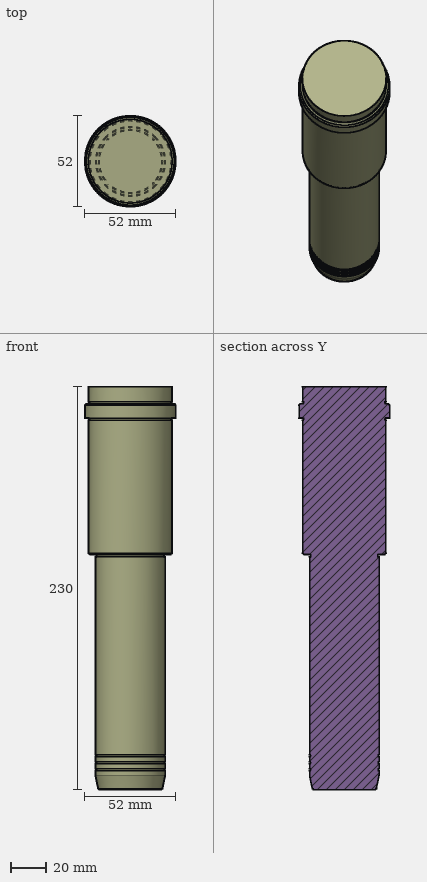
import cadquery as cq

total_length = 230.0
collar_radius = 26.0
sleeve_radius = 24.0
pin_radius = 20.0

sleeve_length = 96.0
sleeve_chamfer = 1.0
collar_top_depth = 9.7
collar_height = 8.3
collar_chamfer = 1.0

neck_width = 1.2
neck_depth = 0.7

nose_length = 8.3
nose_end_radius = 18.5
tip_chamfer = 0.7

groove_radius = 0.58

groove_count = 3
first_groove_height = 11.5
groove_pitch = 4.0

sleeve_bottom = total_length - sleeve_length
collar_top = total_length - collar_top_depth
collar_bottom = collar_top - collar_height


def cylinder(radius, bottom, height):
    return cq.Workplane("XY").workplane(offset=bottom).circle(radius).extrude(height)


def cut_neck(pin):
    """Narrow the top of the pin to form the square undercut below the sleeve."""
    neck_bottom = sleeve_bottom - neck_width
    ring = cylinder(pin_radius, neck_bottom, neck_width)
    ring = ring.cut(cylinder(pin_radius - neck_depth, neck_bottom, neck_width))
    return pin.cut(ring)


def cut_round_groove(body, surface_radius, middle_height):
    """Cut a half-round groove around a cylinder of the given radius."""
    groove = (
        cq.Workplane("XZ")
        .moveTo(surface_radius, middle_height - groove_radius)
        .threePointArc(
            (surface_radius - groove_radius, middle_height),
            (surface_radius, middle_height + groove_radius),
        )
        .close()
        .revolve(360, (0, 0), (0, 1))
    )
    return body.cut(groove)


def make_pin():
    """Pin revolved from a half profile with a tapered nose and a chamfered tip."""
    return (
        cq.Workplane("XZ")
        .lineTo(nose_end_radius - tip_chamfer, 0)
        .lineTo(nose_end_radius, tip_chamfer)
        .lineTo(pin_radius, nose_length)
        .lineTo(pin_radius, sleeve_bottom)
        .lineTo(0, sleeve_bottom)
        .close()
        .revolve(360, (0, 0), (0, 1))
    )


def make_sleeve():
    """Sleeve with a chamfered lower edge and a relief on each side of its collar."""
    sleeve = cylinder(sleeve_radius, sleeve_bottom, sleeve_length)
    sleeve = sleeve.faces("<Z").edges().chamfer(sleeve_chamfer)
    for relief_middle in (collar_top + groove_radius, collar_bottom - groove_radius):
        sleeve = cut_round_groove(sleeve, sleeve_radius, relief_middle)
    collar = cylinder(collar_radius, collar_bottom, collar_height)
    collar = collar.faces(">Z").edges().chamfer(collar_chamfer)
    return sleeve.union(collar)


pin = make_pin()
pin = cut_neck(pin)
for index in range(groove_count):
    groove_middle = first_groove_height + index * groove_pitch
    pin = cut_round_groove(pin, pin_radius, groove_middle)

result = pin.union(make_sleeve())